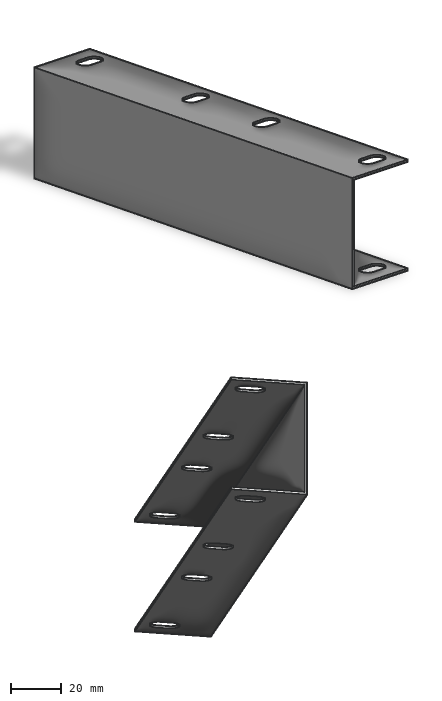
import cadquery as cq

length = 180.0
depth = 30.8
height = 46.8
thickness = 1.0

slot_width = 7.0
slot_length = 12.0
slot_edge_distance = 9.9
outer_slot_offset = 80.0
inner_slot_offset = 20.0


def make_channel():
    """U-shaped channel centred on the origin, open towards +Y."""
    body = cq.Workplane("XY").box(length, depth, height)
    cavity = cq.Workplane("XY").box(length, depth, height - 2 * thickness)
    return body.cut(cavity.translate((0, thickness, 0)))


def make_slots():
    """Cutters for the slots, tall enough to pass through both flanges."""
    slot_y = depth / 2 - slot_edge_distance
    centres = [
        (side * offset, slot_y)
        for offset in (inner_slot_offset, outer_slot_offset)
        for side in (-1, 1)
    ]
    return (
        cq.Workplane("XY")
        .pushPoints(centres)
        .slot2D(slot_length, slot_width, 90)
        .extrude(height, both=True)
    )


result = make_channel().cut(make_slots())